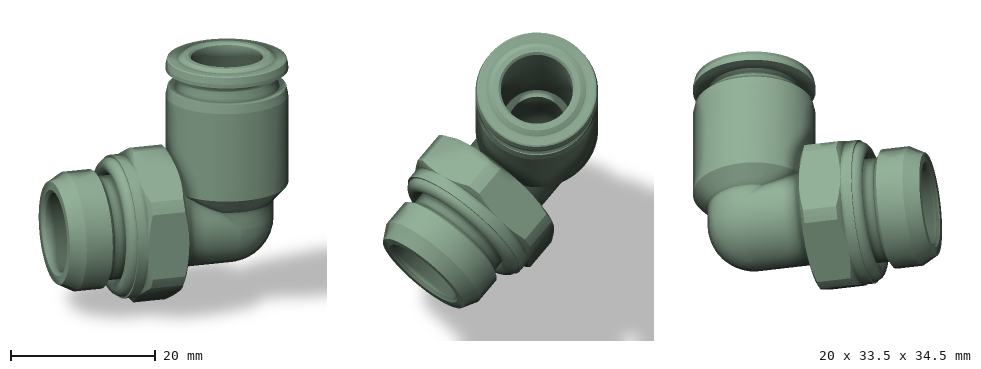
import cadquery as cq
import math


tube_radius = 12.95 / 2
passage_radius = 8.0 / 2

socket_top = 23.5
socket_radius = 17.0 / 2
socket_cone_bottom = 2.6
socket_cone_top = 4.95
socket_bevel_bottom = 17.72
socket_bevel_top = 18.97
socket_bevel_radius = 16.45 / 2
collar_base_radius = 14.58 / 2
collar_top_radius = 13.75 / 2
collar_top = 20.3
neck_radius = 12.0 / 2
neck_top = 21.05
flange_bottom = 21.5
flange_root_radius = 12.7 / 2
flange_taper_start = 22.0
flange_top = 23.08
flange_top_radius = 16.17 / 2
flange_taper_end = 22.98
flange_taper_radius = 16.6 / 2
rim_base_radius = 13.6 / 2
rim_top_radius = 12.1 / 2
socket_bore_radius = 10.0 / 2
socket_bore_floor = 6.9
socket_bore_chamfer = 0.3

across_flats = 20.0
corner_radius = 11.05
hex_start = 8.57
hex_end = 14.45
hex_bevel = 0.6
washer_end = 16.0
seal_radius = 19.45 / 2

undercut_radius = 14.5 / 2
undercut_end = 18.5
thread_radius = 16.65 / 2
thread_start = 19.15
thread_end = 22.9
stud_end = 33.5 - socket_radius
stud_tip_radius = 14.4 / 2
stud_bore_radius = 11.1 / 2
stud_bore_floor = hex_start
stud_mouth_radius = 12.0 / 2
stud_bore_chamfer = stud_mouth_radius - stud_bore_radius


def turned(profile):
    """Revolve (radius, height) points about the Z axis."""
    return cq.Workplane("XZ").polyline(profile).close().revolve(360, (0, 0, 0), (0, 1, 0))


def towards_stud(solid):
    """Swing a body built along +Z so that it points along -Y."""
    return solid.rotate((0, 0, 0), (1, 0, 0), 90)


def elbow(radius, rise, reach):
    """Ball at the corner with one leg up and one leg towards the stud."""
    ball = cq.Workplane("XY").sphere(radius)
    upper_leg = cq.Workplane("XY").circle(radius).extrude(rise)
    stud_leg = towards_stud(cq.Workplane("XY").circle(radius).extrude(reach))
    return ball.union(upper_leg).union(stud_leg)


def socket():
    return turned([
        (0, socket_cone_bottom),
        (tube_radius, socket_cone_bottom),
        (socket_radius, socket_cone_top),
        (socket_radius, socket_bevel_bottom),
        (socket_bevel_radius, socket_bevel_top),
        (collar_base_radius, socket_bevel_top),
        (collar_top_radius, collar_top),
        (neck_radius, collar_top),
        (neck_radius, neck_top),
        (flange_root_radius, flange_bottom),
        (socket_radius, flange_bottom),
        (socket_radius, flange_taper_start),
        (flange_taper_radius, flange_taper_end),
        (flange_top_radius, flange_top),
        (rim_base_radius, flange_top),
        (rim_top_radius, socket_top),
        (0, socket_top),
    ])


def hex_nut():
    """Hexagon with flats on +X and -X, rounded corners and both ends bevelled."""
    across_corners = across_flats / math.cos(math.pi / 6)
    prism = (
        cq.Workplane("XY").workplane(offset=hex_start)
        .polygon(6, across_corners).extrude(hex_end - hex_start)
        .rotate((0, 0, 0), (0, 0, 1), 30)
    )
    bevelled_blank = turned([
        (0, hex_start),
        (across_flats / 2, hex_start),
        (corner_radius, hex_start + hex_bevel),
        (corner_radius, hex_end - hex_bevel),
        (across_flats / 2, hex_end),
        (0, hex_end),
    ])
    return towards_stud(prism.intersect(bevelled_blank))


def stud():
    """Washer, O-ring and undercut thread blank."""
    washer = (
        cq.Workplane("XY").workplane(offset=hex_end)
        .circle(across_flats / 2).extrude(washer_end - hex_end)
    )
    ring_section_radius = (seal_radius - undercut_radius) / 2
    ring_centre_radius = (seal_radius + undercut_radius) / 2
    seal = (
        cq.Workplane("XZ").center(ring_centre_radius, washer_end)
        .circle(ring_section_radius)
        .revolve(360, (-ring_centre_radius, 0, 0), (-ring_centre_radius, 1, 0))
    )
    thread = turned([
        (0, hex_end),
        (undercut_radius, hex_end),
        (undercut_radius, undercut_end),
        (thread_radius, thread_start),
        (thread_radius, thread_end),
        (stud_tip_radius, stud_end),
        (0, stud_end),
    ])
    return towards_stud(washer.union(seal).union(thread))


def chamfered_bore(radius, floor, mouth, chamfer):
    return turned([
        (0, floor),
        (radius, floor),
        (radius, mouth - chamfer),
        (radius + chamfer, mouth),
        (0, mouth),
    ])


body = elbow(tube_radius, socket_cone_top, hex_end).union(socket()).union(hex_nut()).union(stud())

passage = elbow(passage_radius, socket_bore_floor, stud_bore_floor)
socket_bore = chamfered_bore(socket_bore_radius, socket_bore_floor, socket_top, socket_bore_chamfer)
stud_bore = chamfered_bore(stud_bore_radius, stud_bore_floor, stud_end, stud_bore_chamfer)

result = body.cut(passage).cut(socket_bore).cut(towards_stud(stud_bore))